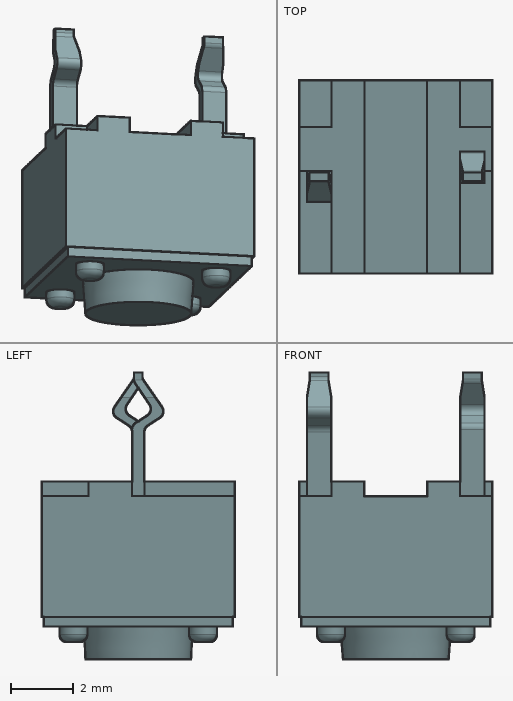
import cadquery as cq

TOTAL_HEIGHT = 9.2
HOUSING_WIDTH = 6.2

BUMP_FACE_Z = 0.55
PLATE_BOTTOM_Z = 1.05
BLOCK_BOTTOM_Z = 1.36
FLOOR_Z = 5.235
RIDGE_TOP_Z = 5.7

PLATE_INSET = 0.07
BUTTON_ROOT_DIAMETER = 3.6
BUTTON_FACE_DIAMETER = 3.395
BUMP_DIAMETER = 0.9
BUMP_OFFSET = 2.08
BUMP_EDGE_RADIUS = 0.25

PIN_THICKNESS = 0.4
PIN_WIDTH = 0.79
PIN_INNER_X = 2.06
BEND_RADIUS = 0.25
TIP_THICKNESS = 0.28
TIP_SIDE_INSET = 0.09
TAPER_START_Z = 8.39
TAPER_END_Z = 8.95

INNER_STEM_Z = 7.51
OUTER_STEM_Z = 7.42
INNER_KNEE = (0.5, 7.96)
OUTER_KNEE = (0.91, 7.88)
INNER_TIP_Z = 8.91
OUTER_TIP_Z = 9.0

CHANNEL_WIDTH = 2.01
BACK_RECESS_Y = 1.6
FRONT_RECESS_Y = PIN_THICKNESS / 2

HALF_WIDTH = HOUSING_WIDTH / 2


def box_between(x_range, y_range, z_range):
    """Box spanning the given ranges."""
    (x0, x1), (y0, y1), (z0, z1) = x_range, y_range, z_range
    return cq.Workplane("XY").box(x1 - x0, y1 - y0, z1 - z0, centered=False).translate((x0, y0, z0))


def make_block():
    """Square block with a channel through the top and a recess at each corner."""
    side = (-HALF_WIDTH, HALF_WIDTH)
    cut_z = (FLOOR_Z, RIDGE_TOP_Z)
    block = box_between(side, side, (BLOCK_BOTTOM_Z, RIDGE_TOP_Z))
    block = block.cut(box_between((-CHANNEL_WIDTH / 2, CHANNEL_WIDTH / 2), side, cut_z))
    for recess_x in [(-HALF_WIDTH, -PIN_INNER_X), (PIN_INNER_X, HALF_WIDTH)]:
        for recess_y in [(-HALF_WIDTH, FRONT_RECESS_Y), (BACK_RECESS_Y, HALF_WIDTH)]:
            block = block.cut(box_between(recess_x, recess_y, cut_z))
    return block


def make_plate():
    """Slightly smaller square plate under the block."""
    plate_half = HALF_WIDTH - PLATE_INSET
    side = (-plate_half, plate_half)
    return box_between(side, side, (PLATE_BOTTOM_Z, BLOCK_BOTTOM_Z))


def make_button():
    """Round button rooted at the top of the plate, narrowing slightly toward its face."""
    return (
        cq.Workplane("XY")
        .circle(BUTTON_FACE_DIAMETER / 2)
        .workplane(offset=BLOCK_BOTTOM_Z)
        .circle(BUTTON_ROOT_DIAMETER / 2)
        .loft()
    )


def make_bumps():
    """Four round bumps with rounded lower edges, one near each corner of the plate."""
    return (
        cq.Workplane("XY", origin=(0, 0, BUMP_FACE_Z))
        .rect(2 * BUMP_OFFSET, 2 * BUMP_OFFSET, forConstruction=True)
        .vertices()
        .circle(BUMP_DIAMETER / 2)
        .extrude(PLATE_BOTTOM_Z - BUMP_FACE_Z)
        .faces("<Z")
        .edges()
        .fillet(BUMP_EDGE_RADIUS)
    )


def make_housing():
    """Block, plate, button and bumps in one solid."""
    return make_block().union(make_plate()).union(make_button()).union(make_bumps())


def make_bent_strip():
    """Bent strip of full pin width, with its knee toward -Y and its middle on X = 0."""
    stem = PIN_THICKNESS / 2
    tip = TIP_THICKNESS / 2
    outline = [
        (-stem, FLOOR_Z),
        (-stem, INNER_STEM_Z),
        INNER_KNEE,
        (-tip, INNER_TIP_Z),
        (-tip, TOTAL_HEIGHT),
        (tip, TOTAL_HEIGHT),
        (tip, OUTER_TIP_Z),
        OUTER_KNEE,
        (stem, OUTER_STEM_Z),
        (stem, FLOOR_Z),
    ]
    strip = (
        cq.Workplane("YZ")
        .polyline([(-out, z) for out, z in outline])
        .close()
        .extrude(PIN_WIDTH / 2, both=True)
    )
    bend_edges = cq.selectors.BoxSelector(
        (-PIN_WIDTH, -HALF_WIDTH, (FLOOR_Z + OUTER_STEM_Z) / 2),
        (PIN_WIDTH, HALF_WIDTH, (OUTER_TIP_Z + TOTAL_HEIGHT) / 2),
    )
    return strip.edges("|X").edges(bend_edges).fillet(BEND_RADIUS)


def make_front_outline():
    """Prism along Y whose sides narrow the pin toward its tip."""
    half = PIN_WIDTH / 2
    tip_half = half - TIP_SIDE_INSET
    return (
        cq.Workplane("XZ")
        .polyline([
            (-half, FLOOR_Z),
            (-half, TAPER_START_Z),
            (-tip_half, TAPER_END_Z),
            (-tip_half, TOTAL_HEIGHT),
            (tip_half, TOTAL_HEIGHT),
            (tip_half, TAPER_END_Z),
            (half, TAPER_START_Z),
            (half, FLOOR_Z),
        ])
        .close()
        .extrude(HALF_WIDTH, both=True)
    )


def make_pin(turn):
    """Pin on the -X side standing on the recess floor, turned about Z by the given angle."""
    pin = make_bent_strip().intersect(make_front_outline())
    pin = pin.translate((-PIN_INNER_X - PIN_WIDTH / 2, 0, 0))
    return pin.rotate((0, 0, 0), (0, 0, 1), turn)


housing = make_housing()
pins = [make_pin(turn) for turn in (0, 180)]

result = cq.Compound.makeCompound([housing.val(), *[pin.val() for pin in pins]])